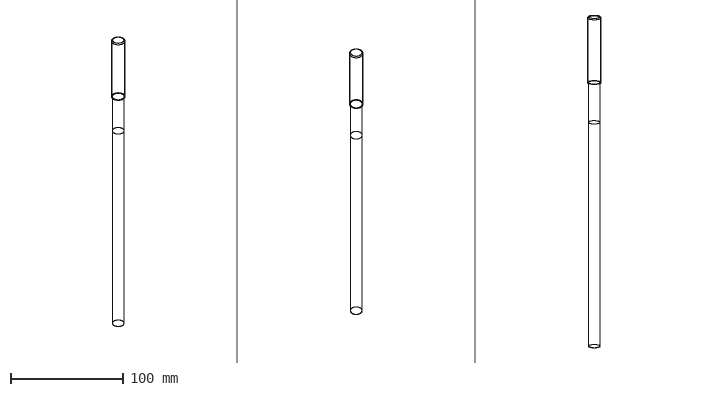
import cadquery as cq
import math

SHANK_DIAMETER = 12.0
DRILL_DIAMETER = 10.4
POINT_ANGLE = 140.0
SHANK_CHAMFER = 1.0
LENGTH_TO_CORNER = 306.0
SHANK_LENGTH = 61.0
CUTTING_LENGTH = 208.0

shank_radius = SHANK_DIAMETER / 2
drill_radius = DRILL_DIAMETER / 2
point_height = drill_radius / math.tan(math.radians(POINT_ANGLE / 2))
top_z = point_height + LENGTH_TO_CORNER
shoulder_z = top_z - SHANK_LENGTH
joint_z = point_height + CUTTING_LENGTH


def revolved(outline):
    """Turn a closed outline of (radius, height) points about the Z axis."""
    return cq.Workplane("XZ").polyline(outline).close().revolve(360, (0, 0), (0, 1))


def make_cutting_part():
    """Cylindrical cutting length ending in the cone point."""
    return revolved([
        (0, 0),
        (drill_radius, point_height),
        (drill_radius, joint_z),
        (0, joint_z),
    ])


def make_shank():
    """Chamfered shank with the narrower neck that meets the cutting part."""
    return revolved([
        (0, joint_z),
        (drill_radius, joint_z),
        (drill_radius, shoulder_z),
        (shank_radius, shoulder_z),
        (shank_radius, top_z - SHANK_CHAMFER),
        (shank_radius - SHANK_CHAMFER, top_z),
        (0, top_z),
    ])


cutting_part = make_cutting_part()
shank = make_shank()

result = cq.Compound.makeCompound([cutting_part.val(), shank.val()])